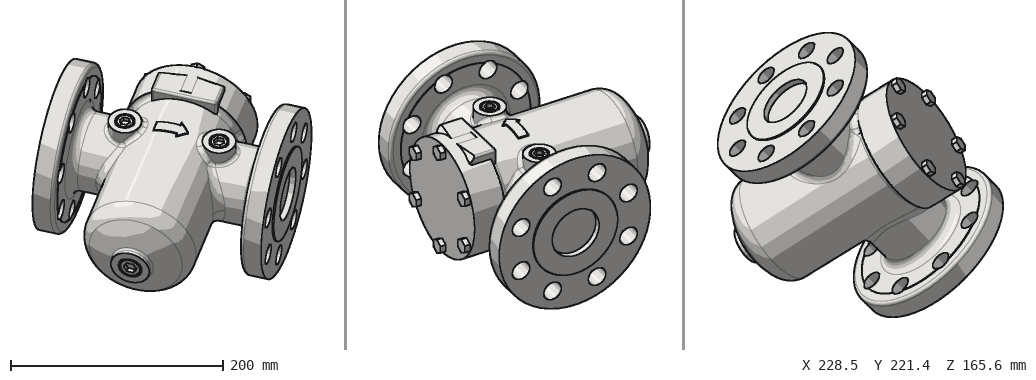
import cadquery as cq
import math


overall_length = 228.5
flange_radius = 82.8
flange_thickness = 20.8
flange_edge_round = 3.5
raised_face_radius = 46.0
raised_face_height = 1.5
spot_face_radius = 70.9
spot_face_height = 0.7
flange_hole_diameter = 19.0
flange_hole_circle_radius = 63.5
flange_hole_count = 8
pipe_radius = 38.5
pipe_flange_fillet = 9.5
pipe_body_fillet = 9.1
bore_radius = 25.5
bore_depth = 6.2

body_radius = 54.6
cover_radius = 60.5
cover_top_y = 79.0
cover_bottom_y = 44.5
cover_fillet = 5.3
knuckle_radius = 20.0
knuckle_top_y = -102.6
crown_radius = 81.5
drain_boss_radius = 19.0
drain_boss_end_y = -136.7
drain_boss_fillet = 2.3

bolt_circle_radius = 52.5
bolt_count = 6
bolt_head_height = 5.7
bolt_head_corners = 15.0

gauge_boss_radius = 15.8
gauge_boss_spacing = 92.8
gauge_boss_top_z = 51.0
gauge_boss_fillet = 4.1

gauge_plug_radius = 9.4
gauge_socket_flats = 9.1
drain_plug_radius = 11.5
drain_socket_flats = 11.0
plug_gap_width = 1.5
plug_gap_depth = 1.4
plug_socket_depth = 4.5

pad_length = 64.5
pad_front_y = 38.6
pad_back_y = 67.0
pad_top_z = 60.4
pad_height = 22.9
pad_back_drop = 5.0
pad_back_slope = 34.0
pad_round = 2.3

arrow_back_x = -16.7
arrow_neck_x = 6.6
arrow_tip_x = 16.2
arrow_shaft_half_width = 5.5
arrow_head_half_width = 9.4
arrow_height = 1.4

gauge_boss_centers = [(side * gauge_boss_spacing / 2, 0) for side in (-1, 1)]
half_length = overall_length / 2
flange_face_x = half_length - raised_face_height
flange_back_x = flange_face_x - flange_thickness
spot_face_x = flange_back_x - spot_face_height


def polar(center, radius, angle):
    """Point at an angle on a circle, in the (radius, Y) half-plane of the body."""
    return (center[0] + radius * math.cos(angle), center[1] + radius * math.sin(angle))


def make_shell():
    """Shell, dished end and drain boss, turned about Y."""
    knuckle_center = (body_radius - knuckle_radius, knuckle_top_y)
    crown_rise = math.sqrt((crown_radius - knuckle_radius) ** 2 - knuckle_center[0] ** 2)
    crown_center = (0, knuckle_top_y + crown_rise)
    join_angle = math.atan2(-crown_rise, knuckle_center[0])
    foot_center_r = drain_boss_radius + drain_boss_fillet
    foot_angle = -math.acos(foot_center_r / (crown_radius + drain_boss_fillet))
    foot_center = polar(crown_center, crown_radius + drain_boss_fillet, foot_angle)
    foot_mid_angle = (foot_angle + math.pi + math.pi) / 2
    return (
        cq.Workplane("XY")
        .moveTo(0, cover_top_y)
        .lineTo(body_radius, cover_top_y)
        .lineTo(body_radius, knuckle_top_y)
        .threePointArc(
            polar(knuckle_center, knuckle_radius, join_angle / 2),
            polar(crown_center, crown_radius, join_angle),
        )
        .threePointArc(
            polar(crown_center, crown_radius, (join_angle + foot_angle) / 2),
            polar(crown_center, crown_radius, foot_angle),
        )
        .threePointArc(
            polar(foot_center, drain_boss_fillet, foot_mid_angle),
            polar(foot_center, drain_boss_fillet, math.pi),
        )
        .lineTo(drain_boss_radius, drain_boss_end_y)
        .lineTo(0, drain_boss_end_y)
        .close()
        .revolve(360, (0, 0), (0, 1))
        .rotate((0, 0, 0), (0, 1, 0), -90)
    )


def make_cover():
    """Cover plate and its seat, one plain disc."""
    return (
        cq.Workplane("XZ", origin=(0, cover_top_y, 0))
        .circle(cover_radius)
        .extrude(cover_top_y - cover_bottom_y)
    )


def make_casting():
    """Shell, flow pipe, gauge bosses and cover, blended where they meet."""
    pipe = (
        cq.Workplane("YZ")
        .circle(pipe_radius)
        .extrude(spot_face_x, both=True)
        .rotate((0, 0, 0), (1, 0, 0), 180)
    )
    around_pipe = cq.selectors.BoxSelector(
        (-cover_radius, -pipe_radius, -body_radius),
        (cover_radius, pipe_radius, body_radius),
    )
    casting = make_shell().union(pipe)
    casting = casting.edges(around_pipe).edges("not %LINE").fillet(pipe_body_fillet)

    bosses = (
        cq.Workplane("XY")
        .pushPoints(gauge_boss_centers)
        .circle(gauge_boss_radius)
        .extrude(gauge_boss_top_z)
    )
    boss_reach = gauge_boss_spacing / 2 + gauge_boss_radius
    around_bosses = cq.selectors.BoxSelector(
        (-boss_reach - 2.3, -gauge_boss_radius - 2.3, pipe_radius / 2),
        (boss_reach + 2.3, gauge_boss_radius + 2.3, gauge_boss_top_z - 0.2),
    )
    casting = casting.union(bosses)
    casting = casting.edges(around_bosses).edges("not %LINE").fillet(gauge_boss_fillet)

    under_cover = cq.selectors.BoxSelector(
        (-cover_radius, cover_bottom_y - 0.2, -cover_radius),
        (cover_radius, cover_bottom_y + 0.2, cover_radius),
        boundingbox=True,
    )
    casting = casting.union(make_cover())
    return casting.edges(under_cover).fillet(cover_fillet)


def make_flange():
    """Flange at +X with raised face, spot face and neck fillet, turned about X."""
    neck_radius = pipe_radius + pipe_flange_fillet
    neck_x = spot_face_x - pipe_flange_fillet
    to_arc_mid = pipe_flange_fillet * math.sqrt(0.5)
    flange = (
        cq.Workplane("XY")
        .moveTo(neck_x, 0)
        .lineTo(neck_x, pipe_radius)
        .threePointArc((neck_x + to_arc_mid, neck_radius - to_arc_mid), (spot_face_x, neck_radius))
        .lineTo(spot_face_x, spot_face_radius)
        .lineTo(flange_back_x, spot_face_radius)
        .lineTo(flange_back_x, flange_radius - flange_edge_round)
        .radiusArc((flange_back_x + flange_edge_round, flange_radius), flange_edge_round)
        .lineTo(flange_face_x, flange_radius)
        .lineTo(flange_face_x, raised_face_radius)
        .lineTo(half_length, raised_face_radius)
        .lineTo(half_length, 0)
        .close()
        .revolve(360, (0, 0), (1, 0))
    )
    bore = cq.Workplane("YZ", origin=(half_length, 0, 0)).circle(bore_radius).extrude(-bore_depth)
    holes = (
        cq.Workplane("YZ", origin=(half_length, 0, 0))
        .polarArray(flange_hole_circle_radius, 180 / flange_hole_count, 360, flange_hole_count)
        .circle(flange_hole_diameter / 2)
        .extrude(-2 * flange_thickness)
    )
    return flange.cut(bore).cut(holes)


def make_cover_bolts():
    """Hexagon bolt heads on the cover."""
    heads = cq.Workplane("XZ", origin=(0, cover_top_y, 0))
    heads = heads.polarArray(bolt_circle_radius, 90, 360, bolt_count)
    return heads.polygon(6, bolt_head_corners).extrude(-bolt_head_height)


def make_pad():
    """Name plate pad: a rounded block whose back slopes away in two planes from a central peak."""
    block = (
        cq.Workplane("XY")
        .box(pad_length, pad_back_y - pad_front_y, pad_height, centered=(True, False, False))
        .translate((0, pad_front_y, pad_top_z - pad_height))
        .edges("|Z or (>Z and (not >Y))")
        .fillet(pad_round)
    )
    reach = 2 * pad_length
    drop = reach * pad_back_drop / (pad_length / 2)
    slopes = (
        cq.Workplane("XY", origin=(0, 0, pad_top_z))
        .polyline([(0, pad_back_y), (reach, pad_back_y - drop), (reach, -reach), (-reach, -reach)])
        .lineTo(-reach, pad_back_y - drop)
        .close()
        .extrude(-pad_height, taper=-pad_back_slope)
    )
    return block.intersect(slopes)


def make_arrow():
    """Flow arrow standing a constant height above the shell."""
    upper = [
        (arrow_back_x, arrow_shaft_half_width),
        (arrow_neck_x, arrow_shaft_half_width),
        (arrow_neck_x, arrow_head_half_width),
    ]
    lower = [(x, -y) for x, y in reversed(upper)]
    arrow = (
        cq.Workplane("XY")
        .polyline(upper + [(arrow_tip_x, 0)] + lower)
        .close()
        .extrude(cover_radius)
    )
    envelope = cq.Workplane("XZ").circle(body_radius + arrow_height).extrude(cover_radius, both=True)
    return arrow.intersect(envelope)


def plug_recess(face, plug_radius, socket_flats):
    """Gap round a pipe plug and its hexagon socket, sunk into the given face."""
    gap = face.circle(plug_radius).circle(plug_radius - plug_gap_width).extrude(-plug_gap_depth)
    socket = face.polygon(6, socket_flats / math.cos(math.pi / 6)).extrude(-plug_socket_depth)
    return gap.union(socket)


result = make_casting()

flange = make_flange()
result = result.union(flange).union(flange.mirror("YZ"))

result = result.union(make_pad())
result = result.union(make_cover_bolts())
result = result.union(make_arrow())

for boss_x, boss_y in gauge_boss_centers:
    boss_face = cq.Workplane("XY", origin=(boss_x, boss_y, gauge_boss_top_z))
    result = result.cut(plug_recess(boss_face, gauge_plug_radius, gauge_socket_flats))
drain_face = cq.Workplane("XZ", origin=(0, drain_boss_end_y, 0))
result = result.cut(plug_recess(drain_face, drain_plug_radius, drain_socket_flats))